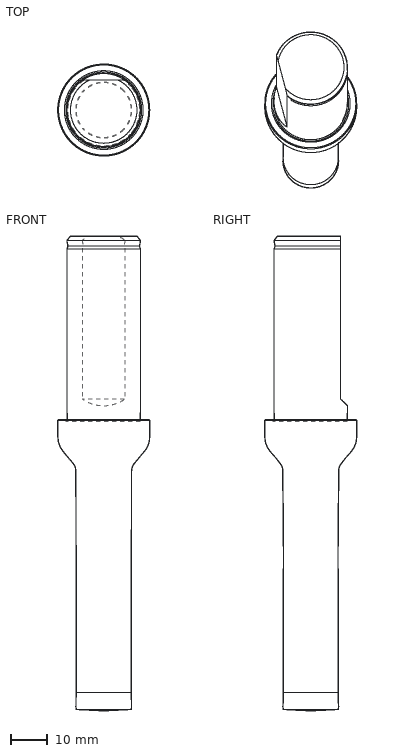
import cadquery as cq
import math

TOTAL_LENGTH = 129.0
HEAD_TOP = 5.0
BODY_TOP = 37.4
TAPER_TOP = 60.0
COLLAR_BOTTOM = 74.4
COLLAR_TOP = 79.2

HEAD_RADIUS = 15.2 / 2
HEAD_EDGE_RADIUS = 7.5
HEAD_EDGE_TOP = 1.2
TIP_CONE_HEIGHT = 0.4

STEM_RADIUS = 15.2 / 2
BODY_RADIUS = 15.0 / 2

COLLAR_RADIUS = 25.0 / 2
COLLAR_CHAMFER = 0.3
FLARE_ANGLE = math.radians(40)
FLARE_SHOULDER_RADIUS = 6.0
FLARE_ROOT_RADIUS = 3.4

RECESS_RADIUS = 10.7
RECESS_FLOOR_RADIUS = 10.3
RECESS_DEPTH = 0.5

SHANK_RADIUS = 20.0 / 2
RELIEF_RADIUS = 19.9 / 2
RELIEF_BOTTOM = 80.4
RELIEF_TOP = 81.0
TOP_FACE_RADIUS = 9.0
TOP_CHAMFER_HEIGHT = 1.2
GROOVE_RADIUS = 19.5 / 2
GROOVE_TOP = 127.5
GROOVE_ROOT = 126.3
GROOVE_BOTTOM = 125.5

FLAT_OFFSET = 8.1
FLAT_RUNOUT_TOP = 84.8
FLAT_RUNOUT_BOTTOM = FLAT_RUNOUT_TOP - (SHANK_RADIUS - FLAT_OFFSET)


def revolve_about_z(profile):
    """Turn a closed radius/height profile about the Z axis."""
    return profile.close().revolve(360, (0, 0, 0), (0, 1, 0))


def make_cutting_head():
    """Short head, slightly widening to a bevelled cutting edge, with a very flat conical tip."""
    profile = (
        cq.Workplane("XZ")
        .lineTo(HEAD_EDGE_RADIUS, TIP_CONE_HEIGHT)
        .lineTo(HEAD_RADIUS, HEAD_EDGE_TOP)
        .lineTo(BODY_RADIUS, HEAD_TOP)
        .lineTo(0, HEAD_TOP)
    )
    return revolve_about_z(profile)


def add_flare(profile):
    """Continue a profile from the stem up to the collar with tangent rounds and a cone."""
    sine = math.sin(FLARE_ANGLE)
    cosine = math.cos(FLARE_ANGLE)
    half_sine = math.sin(FLARE_ANGLE / 2)
    half_cosine = math.cos(FLARE_ANGLE / 2)

    shoulder_center = COLLAR_RADIUS - FLARE_SHOULDER_RADIUS
    cone_top_radius = shoulder_center + FLARE_SHOULDER_RADIUS * cosine
    cone_top = COLLAR_BOTTOM - FLARE_SHOULDER_RADIUS * sine

    root_center = STEM_RADIUS + FLARE_ROOT_RADIUS
    cone_foot_radius = root_center - FLARE_ROOT_RADIUS * cosine
    cone_foot = cone_top - (cone_top_radius - cone_foot_radius) / math.tan(FLARE_ANGLE)
    root_bottom = cone_foot - FLARE_ROOT_RADIUS * sine

    return (
        profile
        .lineTo(STEM_RADIUS, root_bottom)
        .threePointArc(
            (root_center - FLARE_ROOT_RADIUS * half_cosine, root_bottom + FLARE_ROOT_RADIUS * half_sine),
            (cone_foot_radius, cone_foot),
        )
        .lineTo(cone_top_radius, cone_top)
        .threePointArc(
            (
                shoulder_center + FLARE_SHOULDER_RADIUS * half_cosine,
                COLLAR_BOTTOM - FLARE_SHOULDER_RADIUS * half_sine,
            ),
            (COLLAR_RADIUS, COLLAR_BOTTOM),
        )
    )


def make_turned_holder():
    """Slim tapered stem, flared collar and grooved shank as one turned shape."""
    stem = (
        cq.Workplane("XZ")
        .moveTo(0, HEAD_TOP)
        .lineTo(BODY_RADIUS, HEAD_TOP)
        .lineTo(BODY_RADIUS, BODY_TOP)
        .lineTo(STEM_RADIUS, TAPER_TOP)
    )
    collar = (
        add_flare(stem)
        .lineTo(COLLAR_RADIUS, COLLAR_TOP - COLLAR_CHAMFER)
        .lineTo(COLLAR_RADIUS - COLLAR_CHAMFER, COLLAR_TOP)
        .lineTo(RECESS_RADIUS, COLLAR_TOP)
        .lineTo(RECESS_FLOOR_RADIUS, COLLAR_TOP - RECESS_DEPTH)
        .lineTo(RELIEF_RADIUS, COLLAR_TOP - RECESS_DEPTH)
    )
    shank = (
        collar
        .lineTo(RELIEF_RADIUS, RELIEF_BOTTOM)
        .lineTo(SHANK_RADIUS, RELIEF_TOP)
        .lineTo(SHANK_RADIUS, GROOVE_BOTTOM)
        .lineTo(GROOVE_RADIUS, GROOVE_ROOT)
        .lineTo(SHANK_RADIUS, GROOVE_TOP)
        .lineTo(SHANK_RADIUS, TOTAL_LENGTH - TOP_CHAMFER_HEIGHT)
        .lineTo(TOP_FACE_RADIUS, TOTAL_LENGTH)
        .lineTo(0, TOTAL_LENGTH)
    )
    return revolve_about_z(shank)


def make_flat_cutter():
    """Prism that clears the shank flat and its 45 degree run-out."""
    return (
        cq.Workplane("YZ")
        .moveTo(FLAT_OFFSET, TOTAL_LENGTH)
        .lineTo(FLAT_OFFSET, FLAT_RUNOUT_TOP)
        .lineTo(SHANK_RADIUS, FLAT_RUNOUT_BOTTOM)
        .lineTo(SHANK_RADIUS, TOTAL_LENGTH)
        .close()
        .extrude(SHANK_RADIUS, both=True)
    )


cutting_head = make_cutting_head()
holder = make_turned_holder().cut(make_flat_cutter())

result = cq.Compound.makeCompound([holder.val(), cutting_head.val()])